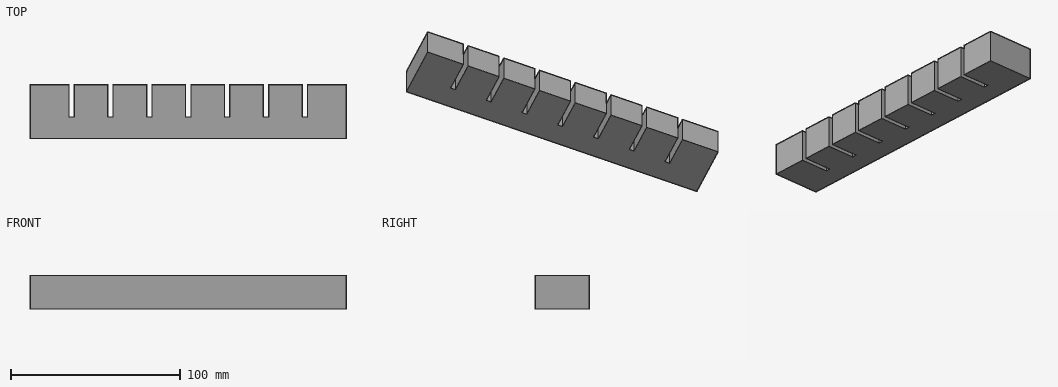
import cadquery as cq

length = 187.0
width = 32.0
height = 20.0

slot_count = 7
slot_pitch = 23.0
slot_width = 3.0
slot_depth = 19.0


def make_bar():
    """Plain rectangular bar centred on the origin."""
    return cq.Workplane("XY").box(length, width, height)


def make_slots():
    """Cutters for the evenly spaced slots, centred along the bar."""
    slot_center_y = width / 2 - slot_depth / 2
    return (
        cq.Workplane("XY")
        .center(0, slot_center_y)
        .rarray(slot_pitch, 1.9, slot_count, 1)
        .box(slot_width, slot_depth, height)
    )


result = make_bar().cut(make_slots())